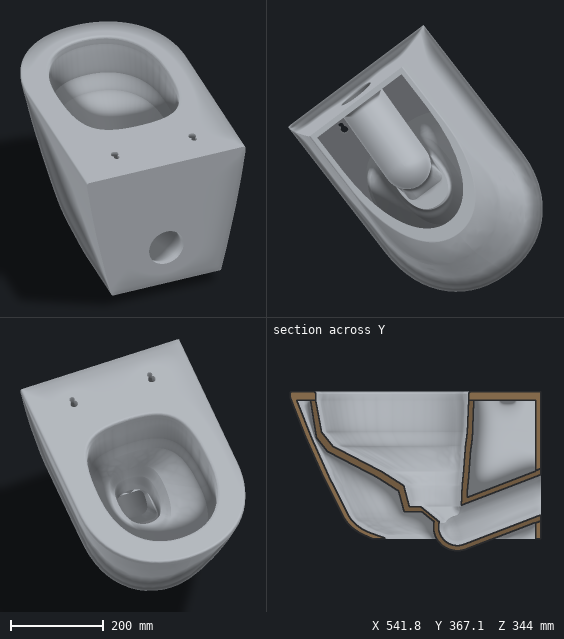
import cadquery as cq
import math


LENGTH = 541.76
WIDTH = 367.07
PAN_HEIGHT = 318.0
RIM_BAND = 12.0
RIM_FILLET = 5.0
FOOT_FILLET = 3.4
RIM_THICKNESS = 20.0
WALL = 12.0

BODY_HEIGHT = PAN_HEIGHT - RIM_BAND
RIM_UNDERSIDE = PAN_HEIGHT - RIM_THICKNESS

NOSE_LEAN = 0.36
NOSE_LEAN_GROWTH = 0.00033
SIDE_LEAN = 0.135
SIDE_LEAN_GROWTH = 0.00017
TOE_HEIGHT = 54.0
TOE_SETBACK = 37.0
NOSE_LENGTH = 195.0
NOSE_SHORTENING = 0.09
TOE_LENGTHENING = 60.0
NOSE_FULLNESS = 0.6
TOE_STEPS = 3
BODY_STEPS = 2

OPENING_FRONT = 50.3
OPENING_REAR = 391.0
OPENING_HALF = 132.5
OPENING_WIDEST = 220.0
OPENING_FILLET = 6.0

KEYHOLE_SPACING = 179.5
KEYHOLE_X = 465.0
KEYHOLE_DIAMETER = 17.0
KEYHOLE_SLOT_X = 477.0
KEYHOLE_SLOT_DIAMETER = 12.0

MOUTH = (
    RIM_UNDERSIDE,
    OPENING_FRONT + OPENING_FILLET,
    OPENING_WIDEST,
    OPENING_REAR - OPENING_FILLET,
    OPENING_HALF - OPENING_FILLET,
)
BOWL_SECTIONS = [
    MOUTH,
    (230.0, 69.0, OPENING_WIDEST, 382.0, 124.0),
    (200.0, 93.0, 235.0, 378.0, 114.0),
    (145.0, 199.0, 313.0, 374.0, 57.6),
    (115.0, 246.0, 313.0, 371.0, 45.0),
    (70.0, 258.0, 313.0, 369.0, 39.0),
]
BOWL_FRONT_FULLNESS = 0.63
BOWL_REAR_FULLNESS = 0.79

SUMP_FLOOR = BOWL_SECTIONS[-1][0]
THROAT_FRONT = 282.0
THROAT_REAR = 364.0
THROAT_HALF = 35.0
THROAT_CORNER = 15.0
THROAT_FOOT_LENGTH = 50.0
THROAT_FOOT_HALF = 28.0
TRAP_X = 361.0
TRAP_DEPTH = 26.0
TRAP_RADIUS = 52.0
TRAP_Z = TRAP_RADIUS - TRAP_DEPTH
TRAP_RISE = 21.0


def quarter_round(side, tip, fullness):
    """Bezier points of a quarter round, from its widest point to its tip on the X axis."""
    side_handle = (side[0] + fullness * (tip[0] - side[0]), side[1])
    tip_handle = (tip[0], fullness * side[1])
    return [side, side_handle, tip_handle, tip]


def pan_outline(z, inset):
    """Round-nosed outline of the pan at height z, moved inwards by inset."""
    drop = max(BODY_HEIGHT - z, 0)
    toe = max(1 - z / TOE_HEIGHT, 0)
    slope = NOSE_LEAN + 2 * NOSE_LEAN_GROWTH * drop + 3 * TOE_SETBACK / TOE_HEIGHT * toe**2
    nose = NOSE_LEAN * drop + NOSE_LEAN_GROWTH * drop**2 + TOE_SETBACK * toe**3
    nose += inset * math.hypot(1, slope)
    half = WIDTH / 2 - SIDE_LEAN * drop - SIDE_LEAN_GROWTH * drop**2 - inset
    nose_length = NOSE_LENGTH - NOSE_SHORTENING * drop + TOE_LENGTHENING * toe**2
    rear = LENGTH - inset
    nose_end = nose + nose_length
    return (
        cq.Workplane("XY", origin=(0, 0, z))
        .moveTo(rear, -half)
        .lineTo(rear, half)
        .lineTo(nose_end, half)
        .bezier(quarter_round((nose_end, half), (nose, 0), NOSE_FULLNESS))
        .bezier(quarter_round((nose_end, -half), (nose, 0), NOSE_FULLNESS)[::-1])
        .close()
    )


def pan_stretch(bottom, top, steps, inset):
    """Smooth stretch of the pan body through evenly spaced outlines."""
    levels = [bottom + (top - bottom) * step / steps for step in range(steps + 1)]
    wires = [pan_outline(z, inset).wires().val() for z in levels]
    return cq.Workplane(cq.Solid.makeLoft(wires))


def pan_solid(inset, top):
    """Tapering pan body from the bottom up to the height top."""
    toe = pan_stretch(0, TOE_HEIGHT, TOE_STEPS, inset)
    return toe.union(pan_stretch(TOE_HEIGHT, top, BODY_STEPS, inset))


def bowl_outline(z, front, widest, rear, half):
    """Egg-shaped outline with a long round front and a blunter rear."""
    side = (widest, half)
    far_side = (widest, -half)
    return (
        cq.Workplane("XY", origin=(0, 0, z))
        .bezier(quarter_round(side, (front, 0), BOWL_FRONT_FULLNESS))
        .bezier(quarter_round(far_side, (front, 0), BOWL_FRONT_FULLNESS)[::-1])
        .bezier(quarter_round(far_side, (rear, 0), BOWL_REAR_FULLNESS))
        .bezier(quarter_round(side, (rear, 0), BOWL_REAR_FULLNESS)[::-1])
        .close()
    )


def bowl_solid(margin):
    """Stepwise tapering bowl, grown by margin on its sides and below its floor."""
    wires = []
    for z, front, widest, rear, half in BOWL_SECTIONS:
        level = z if z == RIM_UNDERSIDE else z - margin
        outline = bowl_outline(level, front - margin, widest, rear + margin, half + margin)
        wires.append(outline.wires().val())
    return cq.Workplane(cq.Solid.makeLoft(wires, ruled=True))


def throat_solid(margin):
    """Slanting passage from the sump floor back and down into the trap."""
    mouth_length = THROAT_REAR - THROAT_FRONT
    mouth_x = (THROAT_FRONT + THROAT_REAR) / 2

    def section(z, centre, length, half):
        outline = cq.Sketch().rect(length + 2 * margin, 2 * (half + margin)).vertices().fillet(THROAT_CORNER)
        return outline.moved(cq.Location(cq.Vector(centre, 0, z)))

    mouth = section(SUMP_FLOOR, mouth_x, mouth_length, THROAT_HALF)
    foot = section(TRAP_Z, TRAP_X, THROAT_FOOT_LENGTH, THROAT_FOOT_HALF)
    return cq.Workplane("XY").placeSketch(mouth, foot).loft(ruled=True)


def trap_solid(radius):
    """Round trap bottom and the pipe rising from it to the rear face of the pan."""
    rise = math.radians(TRAP_RISE)
    direction = cq.Vector(math.cos(rise), 0, math.sin(rise))
    centre = cq.Vector(TRAP_X, 0, TRAP_Z)
    ball = cq.Workplane("XY").sphere(radius).translate(centre)
    pipe = cq.Workplane(cq.Solid.makeCylinder(radius, LENGTH, centre, direction))
    behind = cq.Workplane("XY").box(LENGTH, WIDTH, 2 * LENGTH).translate((1.5 * LENGTH, 0, 0))
    return ball.union(pipe.cut(behind))


def make_pan():
    """Hollow outer pan, open below, with the rim plate, the rim opening and the keyholes."""
    band = pan_outline(BODY_HEIGHT, 0).extrude(RIM_BAND)
    band = band.faces(">Z").edges("not(>X)").fillet(RIM_FILLET)
    body = pan_solid(0, BODY_HEIGHT)
    body = body.faces("<Z").edges("not(>X)").fillet(FOOT_FILLET)
    pan = body.union(band)
    pan = pan.cut(pan_solid(WALL, RIM_UNDERSIDE))
    opening = bowl_outline(*MOUTH).extrude(RIM_THICKNESS)
    pan = pan.cut(opening)
    opening_region = cq.selectors.BoxSelector(
        (OPENING_FRONT, -OPENING_HALF, RIM_UNDERSIDE),
        (OPENING_REAR, OPENING_HALF, PAN_HEIGHT + RIM_BAND),
        True,
    )
    pan = pan.faces(">Z").edges(opening_region).fillet(OPENING_FILLET)
    for x, diameter in ((KEYHOLE_X, KEYHOLE_DIAMETER), (KEYHOLE_SLOT_X, KEYHOLE_SLOT_DIAMETER)):
        centres = [(x, -KEYHOLE_SPACING / 2), (x, KEYHOLE_SPACING / 2)]
        holes = cq.Workplane("XY", origin=(0, 0, RIM_UNDERSIDE)).pushPoints(centres)
        pan = pan.cut(holes.circle(diameter / 2).extrude(RIM_THICKNESS))
    return pan.cut(trap_solid(TRAP_RADIUS))


def make_bowl():
    """Bowl wall, throat and trap pipe, hollow from the mouth to the rear face."""
    bowl = bowl_solid(WALL).union(throat_solid(WALL)).union(trap_solid(TRAP_RADIUS))
    for passage in (bowl_solid(0), throat_solid(0), trap_solid(TRAP_RADIUS - WALL)):
        bowl = bowl.cut(passage)
    return bowl


pan = make_pan()
bowl = make_bowl()
result = cq.Compound.makeCompound([pan.val(), bowl.val()])